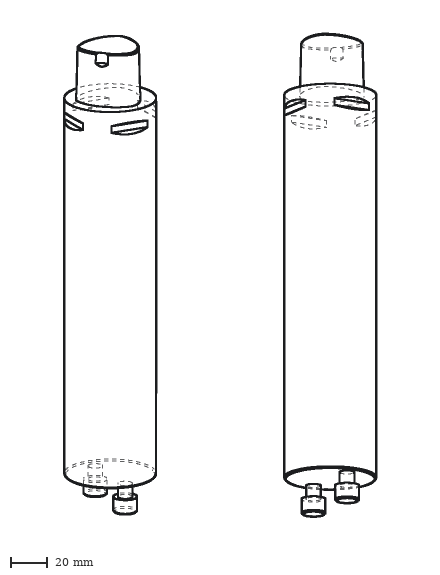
import cadquery as cq
import math

body_diameter = 50.0
body_length = 215.0
body_edge_chamfer = 0.8
shank_length = 30.0
screw_projection = 16.0

polygon_diameter = 35.0
lobe_count = 3
lobe_height = 1.4
taper_ratio = 1 / 20
shank_edge_chamfer = 0.8
lobe_direction = math.radians(90)
outline_points = 36

notch_diameter = 10.5
notch_back_y = -13.9
notch_wall_depth = 5.8
notch_cone_slope = 1.0

groove_count = 4
first_groove_angle = 45
groove_drop = 10.0
groove_floor_distance = 22.4
groove_floor_height = 3.7
groove_flank_angle = math.radians(30)

screw_diameter = 8.0
screw_head_diameter = 13.0
screw_head_height = 8.5
screw_head_chamfer = 0.8
screw_circle_radius = 17.5
screw_offset = screw_circle_radius / math.sqrt(2)


def polygon_point(diameter, angle):
    """Point of a constant-width three-lobed curve, from its support function."""
    lobe_angle = lobe_count * (angle - lobe_direction)
    support = diameter / 2 + lobe_height * math.cos(lobe_angle)
    slope = -lobe_count * lobe_height * math.sin(lobe_angle)
    return (
        support * math.cos(angle) - slope * math.sin(angle),
        support * math.sin(angle) + slope * math.cos(angle),
    )


def polygon_section(base_diameter, base_z, top_diameter, top_z):
    """Solid with straight sides between two polygon outlines."""
    angles = [2 * math.pi * step / outline_points for step in range(outline_points)]
    return (
        cq.Workplane("XY", origin=(0, 0, base_z))
        .spline([polygon_point(base_diameter, angle) for angle in angles], periodic=True)
        .wire()
        .workplane(offset=top_z - base_z)
        .spline([polygon_point(top_diameter, angle) for angle in angles], periodic=True)
        .wire()
        .loft(ruled=True)
    )


def make_body():
    return (
        cq.Workplane("XY")
        .circle(body_diameter / 2)
        .extrude(-body_length)
        .faces("<Z")
        .chamfer(body_edge_chamfer)
    )


def make_shank():
    chamfer_z = shank_length - shank_edge_chamfer
    chamfer_diameter = polygon_diameter - taper_ratio * chamfer_z
    end_diameter = chamfer_diameter - 2 * shank_edge_chamfer
    taper = polygon_section(polygon_diameter, 0, chamfer_diameter, chamfer_z)
    return taper.union(polygon_section(chamfer_diameter, chamfer_z, end_diameter, shank_length))


def make_notch():
    """Upright drilled recess with a conical bottom; its axis lies outside the shank."""
    radius = notch_diameter / 2
    cone_rim_z = shank_length - notch_wall_depth
    cone_tip_z = cone_rim_z - radius * notch_cone_slope
    return (
        cq.Workplane("XZ", origin=(0, notch_back_y - radius, 0))
        .moveTo(0, cone_tip_z)
        .lineTo(radius, cone_rim_z)
        .lineTo(radius, shank_length)
        .lineTo(0, shank_length)
        .close()
        .revolve(360, (0, 0, 0), (0, 1, 0))
    )


def make_groove(angle):
    """Straight flat-floored groove with flared flanks, cut across the body side."""
    depth = body_diameter / 2 - groove_floor_distance
    floor_half = groove_floor_height / 2
    mouth_half = floor_half + depth * math.tan(groove_flank_angle)
    return (
        cq.Workplane("XZ", origin=(0, 0, -groove_drop))
        .moveTo(groove_floor_distance, -floor_half)
        .lineTo(body_diameter / 2, -mouth_half)
        .lineTo(body_diameter / 2, mouth_half)
        .lineTo(groove_floor_distance, floor_half)
        .close()
        .extrude(body_diameter / 2, both=True)
        .rotate((0, 0, 0), (0, 0, 1), angle)
    )


def make_screw(x, y):
    head_end_z = -body_length - screw_projection
    stem = (
        cq.Workplane("XY", origin=(x, y, -body_length))
        .circle(screw_diameter / 2)
        .extrude(-screw_projection)
    )
    head = (
        cq.Workplane("XY", origin=(x, y, head_end_z))
        .circle(screw_head_diameter / 2)
        .extrude(screw_head_height)
        .faces("<Z")
        .chamfer(screw_head_chamfer)
    )
    return stem.union(head)


part = make_body().union(make_shank()).cut(make_notch())

for index in range(groove_count):
    part = part.cut(make_groove(first_groove_angle + index * 360 / groove_count))

for side in (-1, 1):
    part = part.union(make_screw(side * screw_offset, -side * screw_offset))

result = part